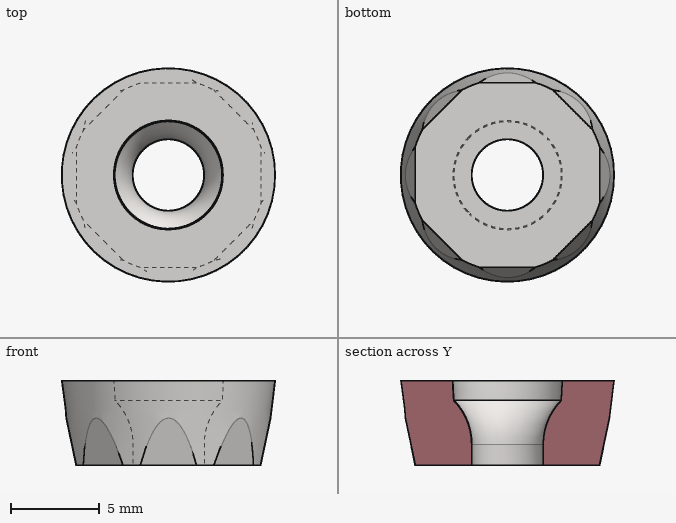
import cadquery as cq
import math

top_radius = 6.0
thickness = 4.76
clearance_angle = 7.0
bottom_radius = top_radius - thickness * math.tan(math.radians(clearance_angle))

flat_count = 8
flat_angle = 11.92
flat_bottom_distance = 5.18

mouth_radius = 3.07
seat_radius = 3.01
mouth_depth = 1.11
bore_radius = 2.0
seat_curve_radius = 3.5


def insert_body():
    """Conical body tapering inward towards the bottom face."""
    return (
        cq.Workplane("XZ")
        .polyline([(0, 0), (bottom_radius, 0), (top_radius, thickness), (0, thickness)])
        .close()
        .revolve(360, (0, 0), (0, 1))
    )


def flats_envelope():
    """Eight-sided tapered block whose sides carry the indexing flats."""
    top_distance = flat_bottom_distance + thickness * math.tan(math.radians(flat_angle))
    half_sector = math.pi / flat_count
    diameter_factor = 2 / math.cos(half_sector)
    bottom_diameter = flat_bottom_distance * diameter_factor
    top_diameter = top_distance * diameter_factor
    envelope = (
        cq.Workplane("XY")
        .polygon(flat_count, bottom_diameter)
        .workplane(offset=thickness)
        .polygon(flat_count, top_diameter)
        .loft(ruled=True)
    )
    return envelope.rotate((0, 0, 0), (0, 0, 1), math.degrees(half_sector))


def screw_hole():
    """Revolved cutter whose seat arc runs tangent into the bore."""
    seat_top = thickness - mouth_depth
    arc_center_radius = bore_radius + seat_curve_radius
    arc_angle = math.acos((arc_center_radius - seat_radius) / seat_curve_radius)
    arc_bottom = seat_top - seat_curve_radius * math.sin(arc_angle)
    arc_middle = (
        arc_center_radius - seat_curve_radius * math.cos(arc_angle / 2),
        arc_bottom + seat_curve_radius * math.sin(arc_angle / 2),
    )
    return (
        cq.Workplane("XZ")
        .lineTo(bore_radius, 0)
        .lineTo(bore_radius, arc_bottom)
        .threePointArc(arc_middle, (seat_radius, seat_top))
        .lineTo(mouth_radius, thickness)
        .lineTo(0, thickness)
        .close()
        .revolve(360, (0, 0), (0, 1))
    )


result = insert_body().intersect(flats_envelope()).cut(screw_hole())